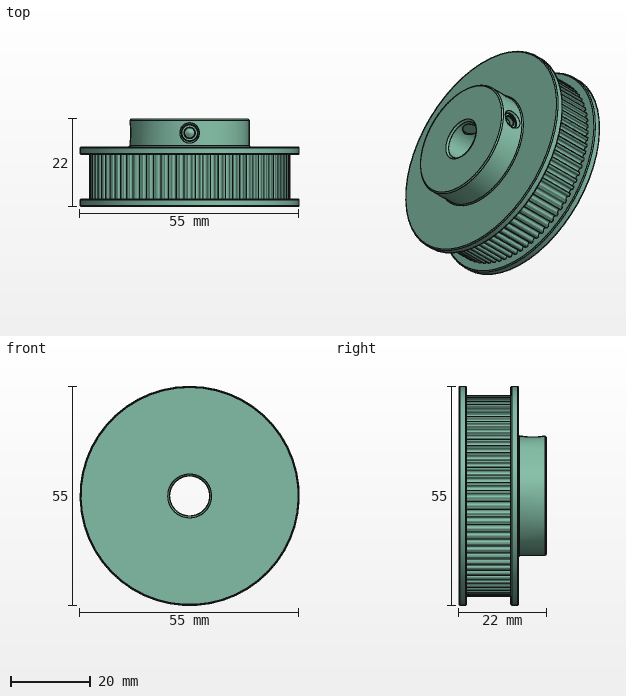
import cadquery as cq
import math

flange_diameter = 55.0
flange_thickness = 2.0
flange_chamfer = 0.3
belt_width = 11.05
hub_diameter = 30.0
total_length = 22.0
hub_chamfer = 0.35
hub_root_chamfer = 0.3
bore_diameter = 10.0
bore_chamfer = 0.5

tooth_count = 80
tooth_tip_radius = 25.2
groove_depth = 0.75
groove_radius = 0.55
tip_fillet = 0.2

screw_diameter = 4.25
screw_edge_chamfer = 0.14
screw_mouth_diameter = 5.1
screw_mouth_depth = 0.75
socket_diameter = 2.6
socket_chamfer = 0.14
socket_depth = 1.2
socket_cone_height = 0.75
screw_face_depth = 1.0

flange_radius = flange_diameter / 2
hub_radius = hub_diameter / 2
bore_radius = bore_diameter / 2
belt_start = flange_thickness
belt_end = belt_start + belt_width
hub_start = belt_end + flange_thickness
screw_y = (hub_start + total_length) / 2
screw_radius = screw_diameter / 2
screw_face = hub_radius - screw_face_depth
screw_directions = [cq.Vector(0, 0, 1), cq.Vector(-1, 0, 0)]


def cylinder_along_y(radius, start, end):
    """Solid cylinder on the pulley axis between two Y positions."""
    axis = cq.Vector(0, 1, 0)
    return cq.Workplane(cq.Solid.makeCylinder(radius, end - start, cq.Vector(0, start, 0), axis))


def make_flange(start):
    """Disc with both rims chamfered."""
    disc = cylinder_along_y(flange_radius, start, start + flange_thickness)
    return disc.faces("<Y or >Y").edges().chamfer(flange_chamfer)


def polar(radius, angle):
    """Point at a radius and angle in the plane across the axis."""
    return (radius * math.cos(angle), radius * math.sin(angle))


def between(center, target, distance):
    """Point at a distance from center on the way to target."""
    span = math.dist(center, target)
    return tuple(c + (t - c) * distance / span for c, t in zip(center, target))


def midpoint(first, second):
    """Point halfway between two points."""
    return tuple((a + b) / 2 for a, b in zip(first, second))


def make_toothed_ring():
    """Cylinder with a groove per tooth, each groove mouth rounded into the lands."""
    pitch_angle = 2 * math.pi / tooth_count
    groove_center_radius = tooth_tip_radius - groove_depth + groove_radius
    fillet_center_radius = tooth_tip_radius - tip_fillet

    center_gap = groove_radius + tip_fillet
    fillet_angle = math.acos(
        (groove_center_radius**2 + fillet_center_radius**2 - center_gap**2)
        / (2 * groove_center_radius * fillet_center_radius)
    )

    first_land_end = polar(tooth_tip_radius, -fillet_angle)
    outline = cq.Workplane("XZ").moveTo(*first_land_end)
    for tooth in range(tooth_count):
        angle = tooth * pitch_angle
        groove_center = polar(groove_center_radius, angle)
        fillet_in = polar(fillet_center_radius, angle - fillet_angle)
        fillet_out = polar(fillet_center_radius, angle + fillet_angle)
        groove_start = between(groove_center, fillet_in, groove_radius)
        groove_end = between(groove_center, fillet_out, groove_radius)
        groove_bottom = polar(tooth_tip_radius - groove_depth, angle)
        land_start = polar(tooth_tip_radius, angle + fillet_angle)
        land_middle = polar(tooth_tip_radius, angle + pitch_angle / 2)
        land_end = polar(tooth_tip_radius, angle + pitch_angle - fillet_angle)

        land_before = polar(tooth_tip_radius, angle - fillet_angle)
        fillet_in_middle = between(fillet_in, midpoint(land_before, groove_start), tip_fillet)
        fillet_out_middle = between(fillet_out, midpoint(groove_end, land_start), tip_fillet)
        outline = (
            outline.threePointArc(fillet_in_middle, groove_start)
            .threePointArc(groove_bottom, groove_end)
            .threePointArc(fillet_out_middle, land_start)
        )
        if tooth == tooth_count - 1:
            land_end = first_land_end
        outline = outline.threePointArc(land_middle, land_end)
    return outline.close().extrude(-belt_width).translate((0, belt_start, 0))


def make_hub():
    """Boss with a chamfered end and a small sloped root against the flange."""
    boss = cylinder_along_y(hub_radius, hub_start, total_length).faces(">Y").edges().chamfer(hub_chamfer)
    root = cq.Solid.makeCone(
        hub_radius + hub_root_chamfer,
        hub_radius,
        hub_root_chamfer,
        cq.Vector(0, hub_start, 0),
        cq.Vector(0, 1, 0),
    )
    return boss.union(cq.Workplane(root))


def make_bore():
    """Through bore with a countersink at both ends."""
    bore = cylinder_along_y(bore_radius, 0, total_length)
    for end, inward in [(0, 1), (total_length, -1)]:
        countersink = cq.Solid.makeCone(
            bore_radius + bore_chamfer,
            bore_radius,
            bore_chamfer,
            cq.Vector(0, end, 0),
            cq.Vector(0, inward, 0),
        )
        bore = bore.union(cq.Workplane(countersink))
    return bore


def on_screw_axis(distance, direction):
    """Point on a screw axis at a distance from the pulley axis."""
    return cq.Vector(0, screw_y, 0) + direction * distance


def make_screw_hole(direction):
    """Radial hole from the bore outward, flared at the hub surface."""
    hole = cq.Solid.makeCylinder(screw_radius, hub_radius, on_screw_axis(0, direction), direction)
    mouth = cq.Solid.makeCone(
        screw_radius,
        screw_mouth_diameter / 2,
        screw_mouth_depth,
        on_screw_axis(hub_radius - screw_mouth_depth, direction),
        direction,
    )
    return cq.Workplane(hole).union(cq.Workplane(mouth))


def make_pulley():
    """Toothed pulley with two flanges, hub, bore and screw holes."""
    body = make_toothed_ring().union(make_flange(0)).union(make_flange(belt_end)).union(make_hub())
    body = body.cut(make_bore())
    for direction in screw_directions:
        body = body.cut(make_screw_hole(direction))
    return body


def make_set_screw(direction):
    """Set screw that ends at the bore, with a round socket whose floor rises to a cone."""
    socket_radius = socket_diameter / 2
    socket_floor = screw_face - socket_depth
    profile = [
        (0, bore_radius),
        (screw_radius, bore_radius),
        (screw_radius, screw_face - screw_edge_chamfer),
        (screw_radius - screw_edge_chamfer, screw_face),
        (socket_radius + socket_chamfer, screw_face),
        (socket_radius, screw_face - socket_chamfer),
        (socket_radius, socket_floor),
        (0, socket_floor + socket_cone_height),
    ]
    plane = cq.Plane(origin=(0, screw_y, 0), xDir=(0, 1, 0), normal=cq.Vector(0, 1, 0).cross(direction))
    return cq.Workplane(plane).polyline(profile).close().revolve(360, (0, 0), (0, 1))


pulley = make_pulley()
set_screws = [make_set_screw(direction) for direction in screw_directions]

result = cq.Compound.makeCompound([pulley.val(), *[screw.val() for screw in set_screws]])